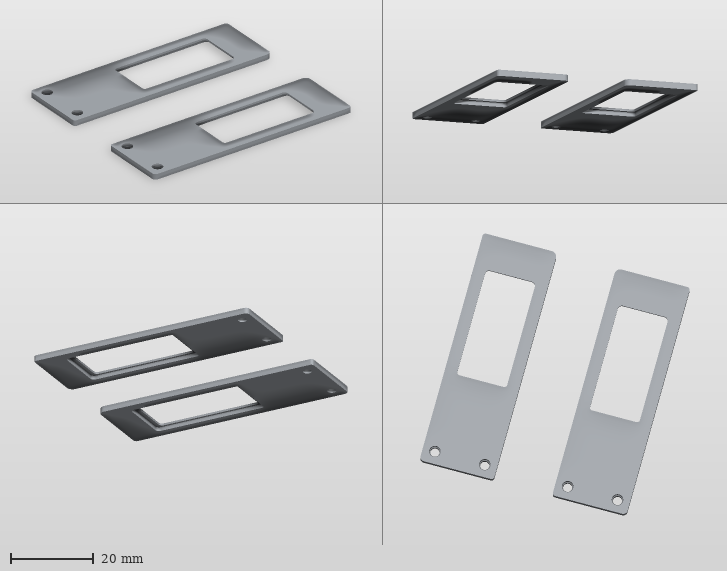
import cadquery as cq

overall_width = 51.8
plate_length = 58.6
plate_width = 18.6
plate_thickness = 1.5
plate_center_x = (overall_width - plate_width) / 2

front_outer_radius = 1.05
front_inner_radius = 0.7
back_outer_radius = 0.7
back_inner_radius = 1.4

edge_margin = 3.05
window_width = plate_width - 2 * edge_margin
window_length = 27.1
window_back_offset = 8.6
window_back_radius = 1.05
window_front_radius = 0.7
window_lip_thickness = 0.5
rebate_side_margin = 0.6
rebate_end_margin = 1.2
window_center_y = plate_length / 2 - window_back_offset - window_length / 2

hole_diameter = 2.2
counterbore_diameter = 2.8
counterbore_depth = 0.75
hole_x = plate_width / 2 - edge_margin
hole_y = -plate_length / 2 + edge_margin


def make_blank():
    """Flat plate, outer side toward -X, with individually rounded corners."""
    blank = cq.Workplane("XY").box(
        plate_width, plate_length, plate_thickness, centered=(True, True, False)
    )
    blank = blank.edges("|Z and <X and <Y").fillet(front_outer_radius)
    blank = blank.edges("|Z and >X and <Y").fillet(front_inner_radius)
    blank = blank.edges("|Z and <X and >Y").fillet(back_outer_radius)
    return blank.edges("|Z and >X and >Y").fillet(back_inner_radius)


def make_opening(side_margin, end_margin, height):
    """Cutter rising from Z = 0: the window outline enlarged by margins along X and Y."""
    opening = (
        cq.Workplane("XY")
        .center(0, window_center_y)
        .box(
            window_width + 2 * side_margin,
            window_length + 2 * end_margin,
            height,
            centered=(True, True, False),
        )
    )
    opening = opening.edges("|Z and >Y").fillet(window_back_radius)
    return opening.edges("|Z and <Y").fillet(window_front_radius)


def make_left_plate():
    """Plate centered on X = 0 with its rebated window and counterbored holes."""
    return (
        make_blank()
        .cut(make_opening(0, 0, plate_thickness))
        .cut(make_opening(rebate_side_margin, rebate_end_margin, plate_thickness - window_lip_thickness))
        .faces(">Z")
        .workplane(origin=(0, 0, plate_thickness))
        .pushPoints([(-hole_x, hole_y), (hole_x, hole_y)])
        .cboreHole(hole_diameter, counterbore_diameter, counterbore_depth)
    )


left_plate = make_left_plate().translate((-plate_center_x, 0, 0))
right_plate = left_plate.mirror("YZ")

result = cq.Compound.makeCompound([left_plate.val(), right_plate.val()])